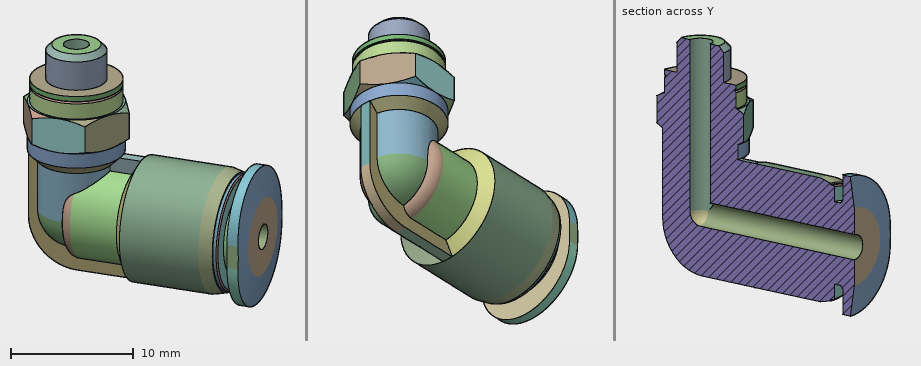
import cadquery as cq
import math


bore_diameter = 2.1

stud_diameter = 5.0
stud_top_z = 14.5
stud_chamfer = 0.5
collar_diameter = 7.6
collar_top_z = 11.5
groove_diameter = 7.3
groove_top_z = 11.03
groove_flat_width = 0.03
groove_slope_height = 0.15

hex_sides = 6
hex_across_flats = 8.0
hex_top_z = 9.5
hex_bottom_z = 6.5
hex_chamfer_angle = 30.0

shoulder_diameter = 8.0
stem_diameter = 6.35

barrel_diameter = 8.0
barrel_nose_radius = 1.0
body_diameter = 10.5
body_cone_start_x = 5.05
body_cone_end_x = 5.8
body_taper_start_x = 12.7
body_taper_end_x = 13.8
body_taper_end_diameter = 9.96
end_ring_diameter = 9.7
end_ring_x = 14.2
end_ring_chamfer = 0.12

neck_diameter = 7.0
neck_flare = 0.25
flange_back_x = 15.05
flange_rim_x = 15.88
sleeve_end_x = 16.3
sleeve_end_diameter = 6.6
flange_height = 11.8
flange_width = 9.8

rib_thickness = 1.0
rib_corner_radius = 4.25

body_radius = body_diameter / 2
shoulder_radius = shoulder_diameter / 2


def make_vertical_leg():
    """Stud, collar, shoulder and round-ended stem, revolved about Z."""
    stud_radius = stud_diameter / 2
    collar_radius = collar_diameter / 2
    groove_radius = groove_diameter / 2
    groove_flat_z = groove_top_z - groove_flat_width
    groove_bottom_z = groove_flat_z - groove_slope_height
    stem_radius = stem_diameter / 2
    shoulder_bottom_z = body_radius
    stem_top_z = shoulder_bottom_z - (shoulder_radius - stem_radius)
    diagonal = stem_radius * math.sqrt(0.5)
    return (
        cq.Workplane("XZ")
        .moveTo(0, -stem_radius)
        .threePointArc((diagonal, -diagonal), (stem_radius, 0))
        .lineTo(stem_radius, stem_top_z)
        .lineTo(shoulder_radius, shoulder_bottom_z)
        .lineTo(shoulder_radius, hex_bottom_z)
        .lineTo(collar_radius, hex_bottom_z)
        .lineTo(collar_radius, groove_bottom_z)
        .lineTo(groove_radius, groove_flat_z)
        .lineTo(groove_radius, groove_top_z)
        .lineTo(collar_radius, groove_top_z)
        .lineTo(collar_radius, collar_top_z)
        .lineTo(stud_radius, collar_top_z)
        .lineTo(stud_radius, stud_top_z - stud_chamfer)
        .lineTo(stud_radius - stud_chamfer, stud_top_z)
        .lineTo(0, stud_top_z)
        .close()
        .revolve(360, (0, 0, 0), (0, 1, 0))
    )


def make_hexagon():
    """Hexagon with corners along X, its corners cut back by cones on both faces."""
    flat_radius = hex_across_flats / 2
    corner_radius = flat_radius / math.cos(math.pi / hex_sides)
    corner_drop = (corner_radius - flat_radius) * math.tan(math.radians(hex_chamfer_angle))
    prism = (
        cq.Workplane("XY")
        .workplane(offset=hex_bottom_z)
        .polygon(hex_sides, 2 * corner_radius)
        .extrude(hex_top_z - hex_bottom_z)
    )
    envelope = (
        cq.Workplane("XZ")
        .moveTo(0, hex_bottom_z)
        .lineTo(flat_radius, hex_bottom_z)
        .lineTo(corner_radius, hex_bottom_z + corner_drop)
        .lineTo(corner_radius, hex_top_z - corner_drop)
        .lineTo(flat_radius, hex_top_z)
        .lineTo(0, hex_top_z)
        .close()
        .revolve(360, (0, 0, 0), (0, 1, 0))
    )
    return prism.intersect(envelope)


def make_horizontal_leg():
    """Round-nosed barrel, socket body and sleeve neck, revolved about X."""
    barrel_radius = barrel_diameter / 2
    ring_radius = end_ring_diameter / 2
    neck_radius = neck_diameter / 2
    nose = barrel_nose_radius
    nose_offset = nose * (1 - math.sqrt(0.5))
    return (
        cq.Workplane("XZ")
        .moveTo(0, 0)
        .lineTo(0, barrel_radius - nose)
        .threePointArc((nose_offset, barrel_radius - nose_offset), (nose, barrel_radius))
        .lineTo(body_cone_start_x, barrel_radius)
        .lineTo(body_cone_end_x, body_radius)
        .lineTo(body_taper_start_x, body_radius)
        .lineTo(body_taper_end_x, body_taper_end_diameter / 2)
        .lineTo(body_taper_end_x, ring_radius)
        .lineTo(end_ring_x - end_ring_chamfer, ring_radius)
        .lineTo(end_ring_x, ring_radius - end_ring_chamfer)
        .lineTo(end_ring_x, neck_radius)
        .lineTo(flange_back_x - neck_flare, neck_radius)
        .lineTo(flange_back_x, neck_radius + neck_flare)
        .lineTo(flange_back_x, 0)
        .close()
        .revolve(360, (0, 0, 0), (1, 0, 0))
    )


def make_flange():
    """Disc with a conical outer face, trimmed to an upright oblong."""
    disc = (
        cq.Workplane("XZ")
        .moveTo(flange_back_x, 0)
        .lineTo(flange_back_x, flange_height / 2)
        .lineTo(flange_rim_x, flange_height / 2)
        .lineTo(sleeve_end_x, sleeve_end_diameter / 2)
        .lineTo(sleeve_end_x, 0)
        .close()
        .revolve(360, (0, 0, 0), (1, 0, 0))
    )
    oblong = (
        cq.Workplane("YZ")
        .workplane(offset=flange_back_x)
        .slot2D(flange_height, flange_width, 90)
        .extrude(sleeve_end_x - flange_back_x)
    )
    return disc.intersect(oblong)


def make_rib():
    """Flat web in the XZ plane, rounded at the outer corner of the elbow."""
    width = body_cone_end_x + shoulder_radius
    return (
        cq.Workplane("XZ")
        .moveTo(-shoulder_radius, -body_radius)
        .rect(width, 2 * body_radius, centered=False)
        .extrude(rib_thickness / 2, both=True)
        .edges("|Y and <X and <Z")
        .fillet(rib_corner_radius)
    )


def make_passage():
    """Bore down the stud, turning through a ball-shaped corner and out along +X."""
    bore_radius = bore_diameter / 2
    down = cq.Workplane("XY").circle(bore_radius).extrude(stud_top_z)
    across = cq.Workplane("YZ").circle(bore_radius).extrude(sleeve_end_x)
    corner = cq.Workplane("XY").sphere(bore_radius)
    return down.union(across).union(corner)


result = (
    make_vertical_leg()
    .union(make_hexagon())
    .union(make_horizontal_leg())
    .union(make_flange())
    .union(make_rib())
    .cut(make_passage())
)